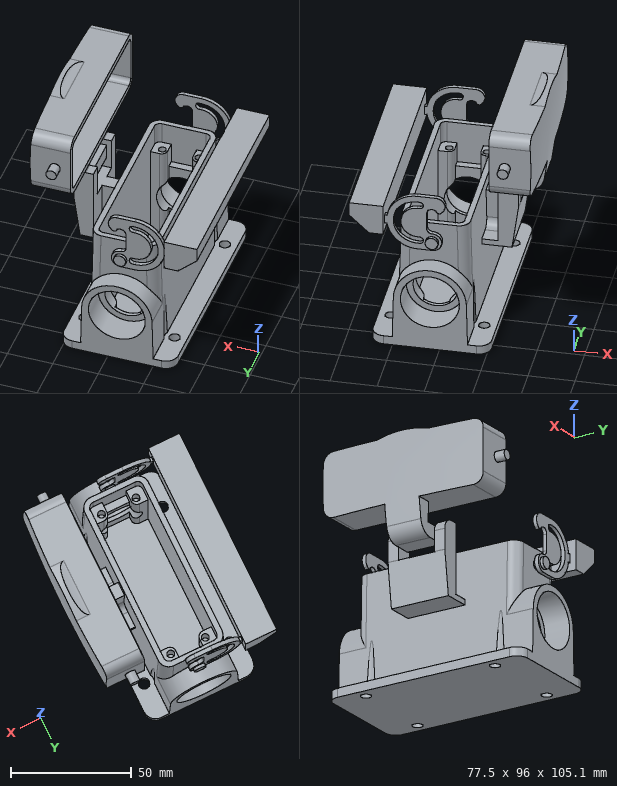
import cadquery as cq
import math

base_half_x = 25.2
base_half_y = 48.0
base_thick = 4.1
base_corner_r = 5.5
base_hole_x = 19.9
base_hole_y = 31.9
base_hole_r = 2.3
screw_relief_r = 4.4

wall_foot_half_x = 16.0
wall_top_half_x = 14.7
housing_top_z = 57.2
housing_half_y = 39.6
housing_corner_r = 4.8

entry_z = 23.3
wall_slope = (wall_foot_half_x - wall_top_half_x) / (housing_top_z - base_thick)
entry_outer_r = (wall_foot_half_x - wall_slope * (entry_z - base_thick)) * math.cos(math.atan(wall_slope))
entry_bore_r = 12.5
entry_bore_floor_y = 35.7
entry_hole_r = 9.6

cavity_half_x = 12.2
cavity_half_y = 37.3
cavity_corner_r = 2.4
cavity_ledge_y = 34.0
cavity_ledge_z = 37.8
boss_top_z = 47.2
boss_inner_x = 5.6
boss_inner_y = 29.9
boss_corner_r = 2.6
boss_hole_x = 8.0
boss_hole_y = 32.9
boss_hole_r = 1.6

bracket_front_x = 22.1
bracket_back_x = 30.8
bracket_foot_x = 28.0
bracket_half_y = 14.1
bracket_bottom_z = 32.5
bracket_shelf_z = 35.0
bracket_floor_z = 52.3
bracket_top_z = 66.9
bracket_round_r = 5.3
bracket_rib_half_y = 3.0
bracket_rib_fillet = 4.0
bracket_slot_half_y = 8.9

pin_z = 50.0
pin_r = 2.2
pin_head_r = 2.7
pin_end_y = 44.5

plate_inner_y = 41.3
plate_thick = 1.9
plate_outer_y = plate_inner_y + plate_thick
lever_eye_r = 4.1
ring_x = -6.3
ring_z = 58.9
ring_r = ring_z - pin_z + lever_eye_r
slot_mid_r = 8.6
slot_width = 3.2
slot_tail = 0.9
seat_z = 63.9
seat_r = 2.3
hook_x = 1.6
hook_r = 3.9
hook_end_angle = -50
hook_tip = (3.3, 64.5)
handle_left_x = -34.7
handle_right_x = -20.2
handle_top_z = 67.1
handle_bottom_z = 53.2
handle_chamfer_x = -26.3
handle_chamfer_z = 60.9
handle_half_y = 46.2
neck_height = 4.0

cover_front_x = 23.3
cover_back_x = 42.8
cover_z = 88.4
cover_half_y = 39.6
cover_half_z = 14.8
cover_corner_r = 5.0
cover_wall = 2.6
dome_r_z = 140.8
dome_r_y = 525.3
dome_half_z = 36.8
dome_sweep = 11.0
peg_x = 30.2
peg_r = 2.3
peg_end_y = 44.5
lip_top_z = 105.1
lip_half_y = 12.6
lip_start_x = 35.4
lip_scoop_r = 5.3

arm_half_y = 8.5
arm_front_x = 24.1
arm_bottom_z = 57.9
arm_step_z = 64.4
arm_inner_x = 34.7
arm_round_r = 7.4


def block(x0, x1, y0, y1, z0, z1):
    """Axis-aligned box between two opposite corners."""
    return cq.Workplane("XY").box(x1 - x0, y1 - y0, z1 - z0, centered=False).translate((x0, y0, z0))


def rod_y(x, z, radius, y0, y1):
    """Cylinder along Y between y0 and y1."""
    return cq.Workplane("XZ", origin=(x, y0, z)).circle(radius).extrude(y0 - y1)


def prism_y(outline, y0, y1):
    """Closed outline in the XZ plane, extruded from y0 to y1."""
    return outline.extrude(y0 - y1).translate((0, y0, 0))


def wall_half_x(z):
    return wall_foot_half_x - wall_slope * (z - base_thick)


def tapered_block(z_top, half_y):
    """Block with both X sides drafted like the housing walls, standing on the flange."""
    outline = cq.Workplane("XZ").polyline([
        (-wall_foot_half_x, base_thick),
        (wall_foot_half_x, base_thick),
        (wall_half_x(z_top), z_top),
        (-wall_half_x(z_top), z_top),
    ]).close()
    return prism_y(outline, -half_y, half_y)


def make_shell():
    flange = block(-base_half_x, base_half_x, -base_half_y, base_half_y, 0, base_thick)
    flange = flange.edges("|Z").fillet(base_corner_r)
    body = tapered_block(housing_top_z, housing_half_y)
    body = body.edges("not(|X or |Y)").fillet(housing_corner_r)
    tangent_z = entry_z + entry_outer_r * math.sin(math.atan(wall_slope))
    body = body.union(tapered_block(tangent_z, base_half_y))
    for side in (-1, 1):
        start_y = side * (housing_half_y - housing_corner_r)
        body = body.union(rod_y(0, entry_z, entry_outer_r, start_y, side * base_half_y))
    screw_points = [(sx * base_hole_x, sy * base_hole_y) for sx in (-1, 1) for sy in (-1, 1)]
    relief = (
        cq.Workplane("XY").workplane(offset=base_thick)
        .pushPoints(screw_points).circle(screw_relief_r).extrude(housing_top_z)
    )
    holes = cq.Workplane("XY").pushPoints(screw_points).circle(base_hole_r).extrude(base_thick)
    return body.cut(relief).union(flange.cut(holes))


def make_cavity():
    """Space inside the housing, with the corner screw bosses left standing."""
    upper = block(
        -cavity_half_x, cavity_half_x, -cavity_half_y, cavity_half_y, cavity_ledge_z, housing_top_z
    ).edges("|Z").fillet(cavity_corner_r)
    lower = block(
        -cavity_half_x, cavity_half_x, -cavity_ledge_y, cavity_ledge_y, base_thick, cavity_ledge_z
    )
    cavity = upper.union(lower)
    for sx in (-1, 1):
        for sy in (-1, 1):
            boss = block(
                boss_inner_x, cavity_half_x, boss_inner_y, cavity_half_y, base_thick, boss_top_z
            ).edges("|Z").edges("<X and <Y").fillet(boss_corner_r)
            hole = (
                cq.Workplane("XY", origin=(boss_hole_x, boss_hole_y, cavity_ledge_z))
                .circle(boss_hole_r).extrude(boss_top_z - cavity_ledge_z)
            )
            boss = boss.cut(hole)
            if sx < 0:
                boss = boss.mirror("YZ")
            if sy < 0:
                boss = boss.mirror("XZ")
            cavity = cavity.cut(boss)
    return cavity


def make_bracket():
    """Two hinge cheeks on a block, joined to the +X wall by a shelf and a filleted rib."""
    outline = (
        cq.Workplane("XZ")
        .moveTo(bracket_front_x, bracket_bottom_z)
        .lineTo(bracket_foot_x, bracket_bottom_z)
        .lineTo(bracket_back_x, bracket_floor_z)
        .lineTo(bracket_back_x, bracket_top_z - bracket_round_r)
        .radiusArc((bracket_back_x - bracket_round_r, bracket_top_z), -bracket_round_r)
        .lineTo(bracket_front_x, bracket_top_z)
        .close()
    )
    cheeks = prism_y(outline, -bracket_half_y, bracket_half_y)
    slot = block(
        bracket_front_x, bracket_back_x, -bracket_slot_half_y, bracket_slot_half_y,
        bracket_floor_z, bracket_top_z,
    )
    fillet_y = bracket_rib_half_y + bracket_rib_fillet
    fillet_z = bracket_shelf_z + bracket_rib_fillet
    joint = (
        cq.Workplane("YZ", origin=(cavity_half_x, 0, 0))
        .moveTo(-bracket_half_y, bracket_bottom_z)
        .lineTo(bracket_half_y, bracket_bottom_z)
        .lineTo(bracket_half_y, bracket_shelf_z)
        .lineTo(fillet_y, bracket_shelf_z)
        .radiusArc((bracket_rib_half_y, fillet_z), bracket_rib_fillet)
        .lineTo(bracket_rib_half_y, bracket_floor_z)
        .lineTo(-bracket_rib_half_y, bracket_floor_z)
        .lineTo(-bracket_rib_half_y, fillet_z)
        .radiusArc((-fillet_y, bracket_shelf_z), bracket_rib_fillet)
        .lineTo(-bracket_half_y, bracket_shelf_z)
        .close()
        .extrude(bracket_front_x - cavity_half_x)
    )
    return cheeks.cut(slot).union(joint)


def make_housing():
    housing = make_shell().union(make_bracket()).cut(make_cavity())
    housing = housing.cut(rod_y(0, entry_z, entry_hole_r, -base_half_y, base_half_y))
    for side in (-1, 1):
        bore = rod_y(0, entry_z, entry_bore_r, side * entry_bore_floor_y, side * base_half_y)
        pin = rod_y(0, pin_z, pin_r, side * cavity_half_y, side * plate_outer_y)
        head = rod_y(0, pin_z, pin_head_r, side * plate_outer_y, side * pin_end_y)
        housing = housing.cut(bore).union(pin.union(head))
    return housing


def make_lever_plate(y0, y1):
    """C-shaped side plate with a peg hook at the top and a pin eye at the bottom."""
    seat_diagonal = seat_r * math.sqrt(0.5)
    hook_z = ring_z + ring_r - hook_r
    end_angle = math.radians(hook_end_angle)
    hook_end = (hook_x + hook_r * math.cos(end_angle), hook_z + hook_r * math.sin(end_angle))
    outline = (
        cq.Workplane("XZ")
        .moveTo(0, pin_z - lever_eye_r)
        .lineTo(ring_x, ring_z - ring_r)
        .threePointArc((ring_x - ring_r, ring_z), (ring_x, ring_z + ring_r))
        .lineTo(hook_x, hook_z + hook_r)
        .threePointArc((hook_x + hook_r, hook_z), hook_end)
        .threePointArc(hook_tip, (seat_diagonal, seat_z + seat_diagonal))
        .threePointArc((0, seat_z + seat_r), (-seat_r, seat_z))
        .lineTo(-seat_r, pin_z + lever_eye_r + seat_r)
        .radiusArc((0, pin_z + lever_eye_r), -seat_r)
        .threePointArc((lever_eye_r, pin_z), (0, pin_z - lever_eye_r))
        .close()
    )
    slot_outer = slot_mid_r + slot_width / 2
    slot_inner = slot_mid_r - slot_width / 2
    tail_x = ring_x + slot_tail
    slot = (
        cq.Workplane("XZ")
        .moveTo(tail_x, ring_z + slot_outer)
        .lineTo(ring_x, ring_z + slot_outer)
        .threePointArc((ring_x - slot_outer, ring_z), (ring_x, ring_z - slot_outer))
        .lineTo(tail_x, ring_z - slot_outer)
        .threePointArc((tail_x + slot_width / 2, ring_z - slot_mid_r), (tail_x, ring_z - slot_inner))
        .lineTo(ring_x, ring_z - slot_inner)
        .threePointArc((ring_x - slot_inner, ring_z), (ring_x, ring_z + slot_inner))
        .lineTo(tail_x, ring_z + slot_inner)
        .threePointArc((tail_x + slot_width / 2, ring_z + slot_mid_r), (tail_x, ring_z + slot_outer))
        .close()
    )
    neck = block(
        handle_right_x, ring_x - (ring_r + slot_outer) / 2, y0, y1,
        ring_z - neck_height / 2, ring_z + neck_height / 2,
    )
    return prism_y(outline, y0, y1).cut(prism_y(slot, y0, y1)).union(neck)


def make_lever():
    handle = cq.Workplane("XZ").polyline([
        (handle_left_x, handle_top_z),
        (handle_right_x, handle_top_z),
        (handle_right_x, handle_bottom_z),
        (handle_chamfer_x, handle_bottom_z),
        (handle_left_x, handle_chamfer_z),
    ]).close()
    lever = prism_y(handle, -handle_half_y, handle_half_y)
    lever = lever.union(make_lever_plate(plate_inner_y, plate_outer_y))
    return lever.union(make_lever_plate(-plate_outer_y, -plate_inner_y))


def make_dome(back_x):
    """Solid whose +X face is an arc in XZ swept along a wide arc in Y, ending at back_x."""
    edge_x = back_x - dome_r_z + math.sqrt(dome_r_z ** 2 - dome_half_z ** 2)
    axis_x = back_x - dome_r_y
    outline = (
        cq.Workplane("XZ")
        .moveTo(cover_front_x, cover_z - dome_half_z)
        .lineTo(edge_x, cover_z - dome_half_z)
        .threePointArc((back_x, cover_z), (edge_x, cover_z + dome_half_z))
        .lineTo(cover_front_x, cover_z + dome_half_z)
        .close()
    )
    dome = outline.revolve(dome_sweep, (axis_x, 0), (axis_x, 1))
    return dome.rotate((axis_x, 0, 0), (axis_x, 0, 1), -dome_sweep / 2)


def make_cover_shell():
    """Open tray facing -X, with a domed back."""
    outer = block(
        cover_front_x, cover_back_x, -cover_half_y, cover_half_y,
        cover_z - cover_half_z, cover_z + cover_half_z,
    ).edges("|X").fillet(cover_corner_r).intersect(make_dome(cover_back_x))
    inner_half_y = cover_half_y - cover_wall
    inner_half_z = cover_half_z - cover_wall
    inner = block(
        cover_front_x, cover_back_x, -inner_half_y, inner_half_y,
        cover_z - inner_half_z, cover_z + inner_half_z,
    ).edges("|X").fillet(cover_corner_r - cover_wall).intersect(make_dome(cover_back_x - cover_wall))
    return outer.cut(inner)


def make_thumb_lip():
    """Crowned lip on top of the cover, scooped on its -X side."""
    cover_top_z = cover_z + cover_half_z
    crown = (
        cq.Workplane("YZ", origin=(lip_start_x, 0, 0))
        .moveTo(-lip_half_y, cover_top_z)
        .threePointArc((0, lip_top_z), (lip_half_y, cover_top_z))
        .lineTo(lip_half_y, cover_top_z - cover_wall / 2)
        .lineTo(-lip_half_y, cover_top_z - cover_wall / 2)
        .close()
        .extrude(cover_back_x - lip_start_x)
    )
    scoop = rod_y(lip_start_x, cover_top_z + lip_scoop_r, lip_scoop_r, -lip_half_y, lip_half_y)
    return crown.cut(scoop).intersect(make_dome(cover_back_x))


def make_arm():
    """Hinge arm reaching down from the cover and in between the bracket cheeks."""
    outline = cq.Workplane("XZ").polyline([
        (arm_front_x, arm_bottom_z),
        (cover_back_x, arm_bottom_z),
        (cover_back_x, cover_z - cover_half_z + cover_wall / 2),
        (arm_inner_x, cover_z - cover_half_z + cover_wall / 2),
        (arm_inner_x, arm_step_z),
        (arm_front_x, arm_step_z),
    ]).close()
    arm = prism_y(outline, -arm_half_y, arm_half_y).intersect(make_dome(cover_back_x))
    return arm.edges("<Z").edges(">X").fillet(arm_round_r)


def make_cover():
    cover = make_cover_shell().union(make_thumb_lip()).union(make_arm())
    for side in (-1, 1):
        peg = rod_y(peg_x, cover_z, peg_r, side * (cover_half_y - cover_wall / 2), side * peg_end_y)
        cover = cover.union(peg)
    return cover


housing = make_housing().union(make_lever())
cover = make_cover()
result = cq.Compound.makeCompound([housing.val(), cover.val()])